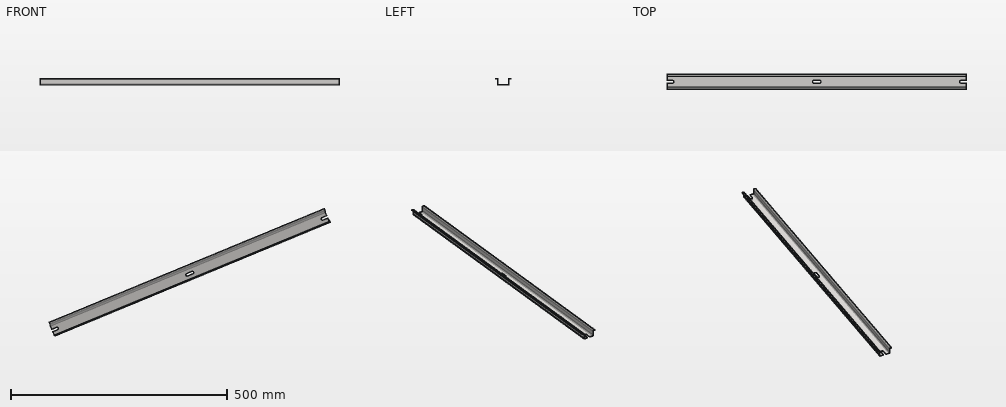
import cadquery as cq

length = 691.0
overall_width = 35.0
height = 15.0

sheet = 1.5
channel_width = 27.0
inner_bend = 0.35
outer_bend = inner_bend + sheet

slot_width = 6.0
slot_length = 19.5
end_slot_depth = 15.0


def make_profile():
    """Corner points of the hat section in the YZ plane."""
    half_rail = overall_width / 2
    half_channel = channel_width / 2
    half_inside = half_channel - sheet
    return [
        (-half_rail, height),
        (-half_inside, height),
        (-half_inside, sheet),
        (half_inside, sheet),
        (half_inside, height),
        (half_rail, height),
        (half_rail, height - sheet),
        (half_channel, height - sheet),
        (half_channel, 0),
        (-half_channel, 0),
        (-half_channel, height - sheet),
        (-half_rail, height - sheet),
    ]


def make_rail():
    """Extruded hat section with its four bends rounded inside and outside."""
    rail = cq.Workplane("YZ").polyline(make_profile()).close().extrude(length / 2, both=True)
    half_channel = channel_width / 2
    half_inside = half_channel - sheet
    tolerance = sheet / 10

    def edges_at(y, z):
        corner = cq.selectors.BoxSelector(
            (-length, y - tolerance, z - tolerance),
            (length, y + tolerance, z + tolerance),
        )
        return rail.edges("|X").edges(corner)

    for side in (-1, 1):
        rail = edges_at(side * half_channel, 0).fillet(outer_bend)
        rail = edges_at(side * half_inside, sheet).fillet(inner_bend)
        rail = edges_at(side * half_inside, height).fillet(outer_bend)
        rail = edges_at(side * half_channel, height - sheet).fillet(inner_bend)
    return rail


def make_slot(center_x, total_length):
    """Cutter for a round-ended slot along X through the floor."""
    return (
        cq.Workplane("XY")
        .center(center_x, 0)
        .slot2D(total_length, slot_width)
        .extrude(sheet)
    )


result = make_rail().cut(make_slot(0, slot_length))
for end in (-1, 1):
    result = result.cut(make_slot(end * length / 2, 2 * end_slot_depth))